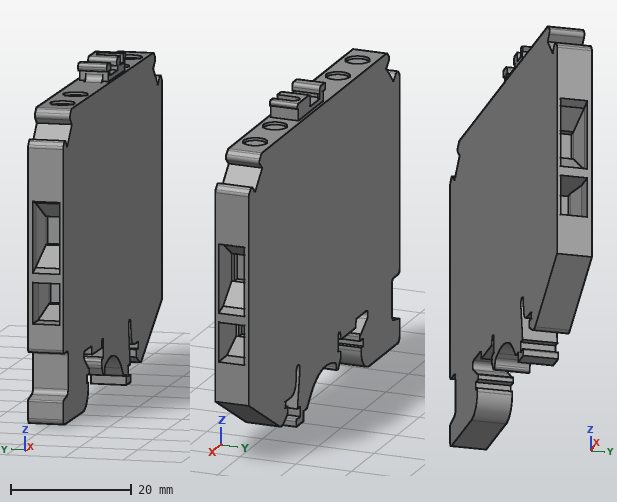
import cadquery as cq
import math

LENGTH = 67.0
THICKNESS = 6.0
HEIGHT = 56.0

HOUSING_TOP = 53.0
FOOT_BOTTOM = 0.5
CORNER_ROUND = 0.7

SCREW_DIAMETER = 4.1
SCREW_DEPTH = 0.5
SCREW_FROM_END = (10.8, 19.55)
SCREW_Y = 2.8

CLIP_FRONT = 0.5
CLIP_BACK = 5.4
CLIP_LEFT = 32.55
CLIP_RIGHT = 43.55
CLIP_FLOOR = 53.9
CLIP_ROUND = 0.5
HOOK_ROUND = 0.7
HOOK_LEFT = 31.5
HOOK_RIGHT = 34.05
HOOK_UNDERSIDE = 54.75
PILLAR_LEFT = 38.25
LIP_RIGHT = 43.95
LIP_UNDERSIDE = 55.1
UNDERCUT = 0.55
UNDERCUT_TOP = 54.7
CLIP_BACK_WALL = 0.35
GUSSET_RADIUS = 1.15
GUSSET_FRONT = 1.4
GUSSET_BACK = 4.35
SLOT_X = 41.55
SLOT_WIDTH = 2.0
SLOT_FRONT = 1.2
SLOT_BACK = 4.75
SLOT_OPEN_FLOOR = 54.5

ENTRY_FRONT = 0.6
ENTRY_BACK = 5.2
CLAMP_FRONT = 1.1
CLAMP_BACK = 4.4
CLAMP_DEPTH = 1.35
UPPER_ENTRY_BOTTOM = 26.0
UPPER_ENTRY_TOP = 38.1
UPPER_LEAD_IN = 2.0
UPPER_LEAD_DRAFT = 0.6
UPPER_DEPTH = 5.8
UPPER_BACK_BOTTOM = 29.8
UPPER_BACK_TOP = 34.65
LOWER_ENTRY_BOTTOM = 17.4
LOWER_ENTRY_TOP = 24.4
LOWER_LEAD_IN = 3.7
LOWER_DEPTH = 7.85
LOWER_BACK_BOTTOM = 19.5


def mirrored(x):
    return LENGTH - x


def rounded_prism(corners, y_front, y_back):
    """Extrude a polygon of (x, z, corner radius) from y_front to y_back."""
    path = cq.Workplane("XZ", origin=(0, y_front, 0))
    for i, (x, z, radius) in enumerate(corners):
        before = cq.Vector(*corners[i - 1][:2])
        after = cq.Vector(*corners[(i + 1) % len(corners)][:2])
        corner = cq.Vector(x, z)
        to_before = (before - corner).normalized()
        to_after = (after - corner).normalized()
        half_angle = to_before.getAngle(to_after) / 2
        setback = radius / math.tan(half_angle)
        start = corner + to_before * setback
        path = path.lineTo(start.x, start.y) if i else path.moveTo(start.x, start.y)
        if radius > 0:
            bisector = (to_before + to_after).normalized()
            middle = corner + bisector * (radius / math.sin(half_angle) - radius)
            end = corner + to_after * setback
            path = path.threePointArc((middle.x, middle.y), (end.x, end.y))
    return path.close().extrude(y_front - y_back)


def box(x_range, y_range, z_range):
    sizes = [high - low for low, high in (x_range, y_range, z_range)]
    return cq.Workplane("XY").box(*sizes, centered=False).translate((x_range[0], y_range[0], z_range[0]))


def end_loft(x_near, y_near, z_near, x_far, y_far, z_far):
    """Ruled solid between two rectangles that lie in planes across X."""
    loops = []
    for x, (y0, y1), (z0, z1) in ((x_near, y_near, z_near), (x_far, y_far, z_far)):
        loops.append(cq.Wire.makePolygon([(x, y0, z0), (x, y1, z0), (x, y1, z1), (x, y0, z1)], close=True))
    return cq.Workplane(obj=cq.Solid.makeLoft(loops, True))


def housing():
    marker_corner = [
        (0, 47.45, CORNER_ROUND),
        (1.2, 48.65, CORNER_ROUND),
        (2.8, 47.1, 0),
        (5.95, 50.3, 0),
        (4.35, 51.8, CORNER_ROUND),
        (5.7, HOUSING_TOP, CORNER_ROUND),
    ]
    right_marker_corner = [(mirrored(x), z, r) for x, z, r in reversed(marker_corner)]

    right_foot = [
        (LENGTH, 10.4, 0),
        (52.45, 1.95, 1.7),
        (49.65, 3.55, 0),
        (49.65, 4.8, 0),
        (50.7, 4.8, 0),
        (50.7, 5.95, 0),
        (46.2, 5.95, 2.2),
        (45.8, 10.6, 0.7),
        (44.3, 10.6, 0.7),
        (44.35, 9.4, 0),
        (45.4, 3.0, 0),
        (44.15, 3.0, 0),
        (44.15, 1.3, 0),
        (45.9, 1.3, 0.3),
        (45.9, 0, 0),
        (42.7, 0, 0),
    ]
    rail_arch = [
        (42.7, 1.75, 0),
        (41.15, 1.75, 1.0),
        (35.7, 7.85, 9.4),
        (28.15, 5.7, 1.0),
        (28.15, 4.3, 0.3),
        (27.3, 4.3, 0.3),
        (26.2, 5.9, 1.0),
        (26.2, 7.1, 0.4),
        (27.3, 7.4, 0),
    ]
    rail_seat = [
        (27.3, 10.6, 0.4),
        (26.4, 10.6, 0.4),
        (26.1, 9.1, 0.2),
        (19.55, 9.1, 0.2),
        (19.35, 10.6, 0.35),
        (12.3, 10.6, 0.8),
        (17.2, 7.25, 0),
        (17.75, 7.1, 0.2),
    ]
    left_foot = [
        (17.75, 6.15, 0),
        (16.3, 6.15, 0),
        (16.3, 4.8, 0),
        (17.15, 4.8, 0),
        (17.15, FOOT_BOTTOM, 3.75),
        (0, FOOT_BOTTOM, 1.0),
        (0, 4.55, 0.3),
        (3.4, 5.2, 1.0),
        (3.4, 12.5, CORNER_ROUND),
        (0, 12.5, CORNER_ROUND),
    ]
    outline = marker_corner + right_marker_corner + right_foot + rail_arch + rail_seat + left_foot
    return rounded_prism(outline, 0, THICKNESS)


def marker_clip():
    outline = [
        (CLIP_LEFT, HOUSING_TOP, 0),
        (CLIP_LEFT, HOOK_UNDERSIDE, 0),
        (HOOK_LEFT, HOOK_UNDERSIDE, CLIP_ROUND),
        (HOOK_LEFT, HEIGHT, CLIP_ROUND),
        (HOOK_RIGHT, HEIGHT, HOOK_ROUND),
        (HOOK_RIGHT, CLIP_FLOOR, 0),
        (PILLAR_LEFT, CLIP_FLOOR, 0),
        (PILLAR_LEFT, HEIGHT, HOOK_ROUND),
        (LIP_RIGHT, HEIGHT, CLIP_ROUND),
        (LIP_RIGHT, LIP_UNDERSIDE, 0.3),
        (CLIP_RIGHT, LIP_UNDERSIDE, 0),
        (CLIP_RIGHT, HOUSING_TOP, 0),
    ]
    clip = rounded_prism(outline, CLIP_FRONT, CLIP_BACK)

    undercut = box(
        (HOOK_RIGHT - UNDERCUT, PILLAR_LEFT + UNDERCUT),
        (CLIP_FRONT, CLIP_BACK - CLIP_BACK_WALL),
        (CLIP_FLOOR, UNDERCUT_TOP),
    )

    slot_length = SLOT_BACK - SLOT_FRONT
    slot = (
        cq.Workplane("XY", origin=(SLOT_X, (SLOT_FRONT + SLOT_BACK) / 2, CLIP_FLOOR))
        .slot2D(slot_length, SLOT_WIDTH, 90)
        .extrude(HEIGHT - CLIP_FLOOR)
    )
    slot_mouth = box(
        (SLOT_X - SLOT_WIDTH / 2, SLOT_X + SLOT_WIDTH / 2),
        (CLIP_FRONT, SLOT_BACK - SLOT_WIDTH / 2),
        (SLOT_OPEN_FLOOR, HEIGHT),
    )
    return clip.cut(undercut).cut(slot).cut(slot_mouth)


def clip_gusset():
    """Concave fillet that braces the hook against the top face."""
    bend = GUSSET_RADIUS * (1 - math.sqrt(0.5))
    return (
        cq.Workplane("XZ", origin=(0, GUSSET_FRONT, 0))
        .moveTo(CLIP_LEFT, HOUSING_TOP)
        .lineTo(CLIP_LEFT - GUSSET_RADIUS, HOUSING_TOP)
        .threePointArc((CLIP_LEFT - bend, HOUSING_TOP + bend), (CLIP_LEFT, HOUSING_TOP + GUSSET_RADIUS))
        .close()
        .extrude(GUSSET_FRONT - GUSSET_BACK)
    )


def screw_recesses():
    centers = [(x, SCREW_Y) for x in SCREW_FROM_END]
    centers += [(mirrored(x), SCREW_Y) for x in SCREW_FROM_END]
    return (
        cq.Workplane("XY", origin=(0, 0, HOUSING_TOP))
        .pushPoints(centers)
        .circle(SCREW_DIAMETER / 2)
        .extrude(-SCREW_DEPTH)
    )


def wire_entry(mouth_z, lead_z, back_z, lead_in, depth):
    """Straight-sided lead-in, a funnel narrowing from the back side, and the clamp opening behind it."""
    mouth_y = (ENTRY_FRONT, ENTRY_BACK)
    lead = end_loft(0, mouth_y, mouth_z, lead_in, mouth_y, lead_z)
    funnel = end_loft(lead_in, mouth_y, lead_z, depth, (ENTRY_FRONT, CLAMP_BACK), back_z)
    clamp = box((depth, depth + CLAMP_DEPTH), (CLAMP_FRONT, CLAMP_BACK), back_z)
    return lead.union(funnel).union(clamp)


def upper_entry():
    return wire_entry(
        mouth_z=(UPPER_ENTRY_BOTTOM, UPPER_ENTRY_TOP),
        lead_z=(UPPER_ENTRY_BOTTOM + UPPER_LEAD_DRAFT, UPPER_ENTRY_TOP - UPPER_LEAD_DRAFT),
        back_z=(UPPER_BACK_BOTTOM, UPPER_BACK_TOP),
        lead_in=UPPER_LEAD_IN,
        depth=UPPER_DEPTH,
    )


def lower_entry():
    mouth_z = (LOWER_ENTRY_BOTTOM, LOWER_ENTRY_TOP)
    return wire_entry(
        mouth_z=mouth_z,
        lead_z=mouth_z,
        back_z=(LOWER_BACK_BOTTOM, LOWER_ENTRY_TOP),
        lead_in=LOWER_LEAD_IN,
        depth=LOWER_DEPTH,
    )


result = housing().union(marker_clip()).union(clip_gusset()).cut(screw_recesses())

for entry in (upper_entry(), lower_entry()):
    result = result.cut(entry)
    result = result.cut(entry.mirror("YZ", (LENGTH / 2, 0, 0)))